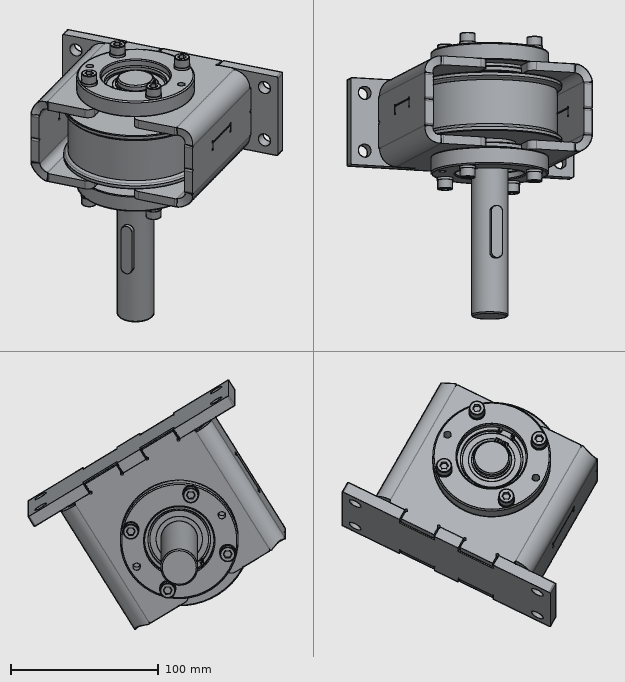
import cadquery as cq
import math


housing_width = 120.0
housing_height = 60.3
wall = 6.0
bend_radius = 12.0
front_y = -40.0
front_bend_dip = 1.7
front_bend_dip_radius = 17.6
rear_bend_recess = 1.9
wall_end_radius = 1.3

plate_width = 160.0
plate_height = 60.0
plate_thickness = 8.0
plate_back_y = 66.0
plate_front_y = plate_back_y - plate_thickness
plate_edge_radius = 1.0
plate_hole_diameter = 9.0
plate_hole_x = 70.0
plate_hole_z = 20.0

tab_inner_x = 10.0
tab_width = 25.0
tab_gap = 1.0
tab_relief_radius = 1.0

tongue_length = 30.0
tongue_height = 6.0
tongue_top_gap = 0.8
tongue_side_gap = 0.2
tongue_relief_radius = 0.8

mouth_half_width = 15.0
mouth_radius = 5.0

wheel_half_width = 20.3
wheel_flange_radius = 49.0
wheel_flange_thickness = 3.8
wheel_tread_radius = 46.0
wheel_tread_half_width = 15.2
wheel_edge = 0.5
wheel_flange_bevel = 1.1
hub_radius = 17.6

flange_radius = 40.0
flange_thickness = 11.8
flange_chamfer = 1.0
flange_base_chamfer = 0.5
spigot_radius = 27.5
spigot_length = 5.7
spigot_chamfer = 0.5
undercut_depth = 0.8
undercut_height = 1.9
bore_radius = 23.5
bore_chamfer = 0.8
jack_hole_diameter = 5.0
jack_hole_x = 34.0

bearing_recess = 6.8
bearing_outer_race_radius = 20.0
bearing_inner_race_radius = 15.7
shield_recess = 0.4
bore_ring_inner_radius = 21.2
bore_ring_height = 2.3
bore_ring_half_gap = 3.8
bore_ring_eye_x = 5.5
bore_ring_eye_y = -21.2
bore_ring_eye_radius = 1.7
shaft_ring_radius = 13.7
shaft_ring_height = 1.1
shaft_ring_ear_width = 4.0
shaft_ring_ear_x = 2.7
shaft_ring_ear_reach = 15.7
ring_eye_hole_radius = 0.8

screw_offset = 23.9
washer_radius = 5.5
washer_height = 1.7
screw_head_radius = 5.1
screw_head_height = 6.0
screw_head_chamfer = 0.4
hex_across_flats = 5.0
hex_depth = 3.0

shaft_radius = 12.5
shaft_top_z = 40.0
shaft_bottom_z = -140.0
shaft_chamfer = 1.0
key_width = 8.0
key_length = 36.0
key_center_z = -84.0
key_front_y = -15.4

half_width = housing_width / 2
half_height = housing_height / 2
wall_center_y = (plate_front_y + front_y) / 2
flange_face_z = half_height + flange_thickness
bearing_face_z = flange_face_z - bearing_recess
tab_center_x = tab_inner_x + tab_width / 2
tab_end_y = plate_back_y - tab_gap


def box(x_range, y_range, z_range):
    size = [high - low for low, high in (x_range, y_range, z_range)]
    corner = (x_range[0], y_range[0], z_range[0])
    return cq.Workplane("XY").box(*size, centered=False).translate(corner)


def cylinder(radius, z_low, z_high, x=0, y=0):
    return cq.Workplane("XY", origin=(x, y, z_low)).circle(radius).extrude(z_high - z_low)


def with_mirror(solid, plane):
    return solid.union(solid.mirror(plane))


def upper_half_wall():
    """Upper half of the -X side wall, with its tongue slit."""
    top = half_height - bend_radius
    half = box((-half_width, -half_width + wall), (front_y, plate_front_y), (0, top))
    half = half.edges("|X").fillet(wall_end_radius)
    tongue_y = (wall_center_y - tongue_length / 2, wall_center_y + tongue_length / 2)
    wall_x = (-half_width, -half_width + wall)
    half = half.cut(box(wall_x, tongue_y, (tongue_height - tongue_top_gap, tongue_height)))
    for y in tongue_y:
        slit_y = (y - tongue_side_gap / 2, y + tongue_side_gap / 2)
        half = half.cut(box(wall_x, slit_y, (0, tongue_height)))
        for z in (0, tongue_height):
            relief = cq.Workplane("YZ", origin=(-half_width, y, z)).circle(tongue_relief_radius).extrude(wall)
            half = half.cut(relief)
    return half


def lower_half_wall():
    """Lower half of the -X side wall, plain."""
    bottom = bend_radius - half_height
    half = box((-half_width, -half_width + wall), (front_y, plate_front_y), (bottom, 0))
    return half.edges("|X").fillet(wall_end_radius)


def top_wall():
    """Flat top wall with a rounded mouth at the front and two tabs at the back."""
    flat_x = half_width - bend_radius
    z_range = (half_height - wall, half_height)
    flat = box((-flat_x, flat_x), (front_y, plate_front_y), z_range)
    flat = flat.edges("|Z").fillet(wall_end_radius)
    flat = flat.cut(box((-mouth_half_width, mouth_half_width), (front_y, 0), z_range))
    mouth_x = mouth_half_width + wall_end_radius
    mouth_edges = cq.selectors.BoxSelector(
        (-mouth_x, front_y - wall_end_radius, 0), (mouth_x, front_y + wall_end_radius, half_height)
    )
    flat = flat.edges("|Z").edges(mouth_edges).fillet(mouth_radius)
    for side in (-1, 1):
        x_low = side * tab_center_x - tab_width / 2
        x_high = x_low + tab_width
        flat = flat.union(box((x_low, x_high), (wall_center_y, tab_end_y), z_range))
        for x in (x_low, x_high):
            flat = flat.cut(cylinder(tab_relief_radius, *z_range, x=x, y=plate_front_y))
    return flat


def bend():
    """Quarter-round bend between the top and -X walls, dipped at the front and set back at the rear."""
    center_x = bend_radius - half_width
    center_z = half_height - bend_radius
    rear_y = plate_front_y - rear_bend_recess
    plane = cq.Workplane("XZ", origin=(center_x, rear_y, center_z))
    ring = plane.circle(bend_radius).circle(bend_radius - wall).extrude(rear_y - front_y)
    quadrant = box((-half_width, center_x), (front_y, rear_y), (center_z, half_height))

    dip_center = cq.Vector(center_x, front_y + front_bend_dip - front_bend_dip_radius, center_z)
    bisector = cq.Vector(-1, 0, 1)
    dip = cq.Solid.makeCylinder(front_bend_dip_radius, bend_radius, dip_center, bisector)
    return ring.intersect(quadrant).cut(cq.Workplane(dip))


def mounting_plate():
    plate_x = (-plate_width / 2, plate_width / 2)
    plate_y = (plate_front_y, plate_back_y)
    plate = box(plate_x, plate_y, (-plate_height / 2, plate_height / 2))
    plate = plate.edges("|Y").fillet(plate_edge_radius)
    for x in (-plate_hole_x, plate_hole_x):
        for z in (-plate_hole_z, plate_hole_z):
            hole = cq.Workplane("XZ", origin=(x, plate_back_y, z)).circle(plate_hole_diameter / 2)
            plate = plate.cut(hole.extrude(plate_thickness))
    for side in (-1, 1):
        x_low = side * tab_center_x - tab_width / 2 - tab_gap
        x_range = (x_low, x_low + tab_width + 2 * tab_gap)
        plate = plate.cut(box(x_range, plate_y, (half_height - wall, half_height)))
        plate = plate.cut(box(x_range, plate_y, (-half_height, wall - half_height)))
    return plate


def housing():
    side = upper_half_wall().union(lower_half_wall())
    side = side.union(with_mirror(bend(), "XY"))
    shell = with_mirror(side, "YZ")
    shell = shell.union(with_mirror(top_wall(), "XY"))
    return shell.union(mounting_plate())


def wheel():
    """Double-flanged wheel turned about Z, with a hub on each side."""
    flange_inner_z = wheel_half_width - wheel_flange_thickness
    upper_rim = [
        (wheel_tread_radius, wheel_tread_half_width),
        (wheel_flange_radius - wheel_flange_bevel, flange_inner_z),
        (wheel_flange_radius, flange_inner_z + wheel_flange_bevel),
        (wheel_flange_radius, wheel_half_width - wheel_edge),
        (wheel_flange_radius - wheel_edge, wheel_half_width),
        (0, wheel_half_width),
    ]
    lower_rim = [(radius, -z) for radius, z in reversed(upper_rim)]
    disc = cq.Workplane("XZ").polyline(lower_rim + upper_rim).close().revolve()
    return disc.union(cylinder(hub_radius, -half_height, half_height))


def bore_ring():
    """Open retaining ring in the flange bore, with an eye at each end."""
    z_range = (bearing_face_z, bearing_face_z + bore_ring_height)
    ring = cylinder(bore_radius, *z_range).cut(cylinder(bore_ring_inner_radius, *z_range))
    ring = ring.cut(box((-bore_ring_half_gap, bore_ring_half_gap), (-bore_radius, 0), z_range))
    for side in (-1, 1):
        eye = {"x": side * bore_ring_eye_x, "y": bore_ring_eye_y}
        ring = ring.union(cylinder(bore_ring_eye_radius, *z_range, **eye))
        ring = ring.cut(cylinder(ring_eye_hole_radius, *z_range, **eye))
    return ring


def bearing_flange():
    """Upper bearing flange with spigot, bearing and retaining ring."""
    flange = cylinder(flange_radius, half_height, flange_face_z)
    flange = flange.faces(">Z").chamfer(flange_chamfer).faces("<Z").chamfer(flange_base_chamfer)
    recess = cylinder(bore_radius, bearing_face_z, flange_face_z)
    flange = flange.cut(recess)
    flange = flange.faces(">Z").edges(cq.selectors.RadiusNthSelector(0)).chamfer(bore_chamfer)

    neck_radius = spigot_radius - undercut_depth
    spigot_end_z = half_height - spigot_length
    shoulder_z = half_height - undercut_height
    spigot = (
        cq.Workplane("XZ")
        .moveTo(0, spigot_end_z)
        .lineTo(spigot_radius - spigot_chamfer, spigot_end_z)
        .lineTo(spigot_radius, spigot_end_z + spigot_chamfer)
        .lineTo(spigot_radius, shoulder_z - undercut_depth)
        .lineTo(neck_radius, shoulder_z)
        .lineTo(neck_radius, half_height)
        .lineTo(0, half_height)
        .close()
        .revolve()
    )
    flange = flange.union(spigot)

    shield_z = (bearing_face_z - shield_recess, bearing_face_z)
    shield = cylinder(bearing_outer_race_radius, *shield_z)
    flange = flange.cut(shield.cut(cylinder(bearing_inner_race_radius, *shield_z)))
    flange = flange.union(bore_ring())

    for x in (-jack_hole_x, jack_hole_x):
        flange = flange.cut(cylinder(jack_hole_diameter / 2, half_height, flange_face_z, x=x))
    for x in (-screw_offset, screw_offset):
        for y in (-screw_offset, screw_offset):
            flange = flange.union(cap_screw().translate((x, y, flange_face_z)))
    return flange


def cap_screw():
    """Washer and socket head, seated on Z = 0, with hexagon corners along Y."""
    head_top = washer_height + screw_head_height
    head = cylinder(screw_head_radius, washer_height, head_top).faces(">Z").chamfer(screw_head_chamfer)
    hex_diameter = hex_across_flats / math.cos(math.pi / 6)
    socket = cq.Workplane("XY").polygon(6, hex_diameter).extrude(hex_depth)
    socket = socket.rotate((0, 0, 0), (0, 0, 1), 90).translate((0, 0, head_top - hex_depth))
    return cylinder(washer_radius, 0, washer_height).union(head.cut(socket))


def shaft_ring():
    """Retaining ring on the top end of the shaft, with two ears toward -Y."""
    z_range = (bearing_face_z, bearing_face_z + shaft_ring_height)
    ring = cylinder(shaft_ring_radius, *z_range)
    for side in (-1, 1):
        x = side * shaft_ring_ear_x
        x_range = (x - shaft_ring_ear_width / 2, x + shaft_ring_ear_width / 2)
        ring = ring.union(box(x_range, (-shaft_ring_ear_reach, 0), z_range))
        eye_y = -(shaft_radius + shaft_ring_ear_reach) / 2
        ring = ring.cut(cylinder(ring_eye_hole_radius, *z_range, x=x, y=eye_y))
    return ring


def shaft():
    body = cylinder(shaft_radius, shaft_bottom_z, shaft_top_z).faces("<Z or >Z").chamfer(shaft_chamfer)
    key_plane = cq.Workplane("XZ", origin=(0, 0, key_center_z))
    key = key_plane.slot2D(key_length, key_width, 90).extrude(-key_front_y)
    return body.union(key).union(shaft_ring())


result = housing().union(wheel()).union(with_mirror(bearing_flange(), "XY")).union(shaft())